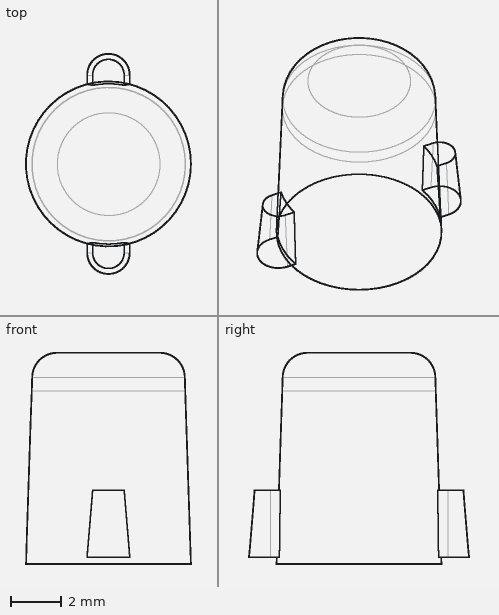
import cadquery as cq
import math

height = 8.4
base_radius = 3.28
shoulder_height = 6.895
shoulder_radius = 3.05
crown_top_radius = 3.01
edge_round = 1.0

overall_length = 8.75
lug_bottom = 0.27
lug_height = 2.67
lug_width = 1.7
lug_top_width = 1.25
lug_direction = 90
lug_draft = math.degrees(math.atan((lug_width - lug_top_width) / 2 / lug_height))


def make_body():
    """Draughted skirt topped by a steeper, rounded crown."""
    profile = (
        cq.Workplane("XZ")
        .lineTo(base_radius, 0)
        .lineTo(shoulder_radius, shoulder_height)
        .lineTo(crown_top_radius, height)
        .lineTo(0, height)
        .close()
    )
    body = profile.revolve(360, (0, 0, 0), (0, 1, 0))
    return body.faces(">Z").edges().fillet(edge_round)


def make_lugs():
    """One tapered, round-ended bar across the body forms both lugs."""
    return (
        cq.Workplane("XY", origin=(0, 0, lug_bottom))
        .slot2D(overall_length, lug_width, lug_direction)
        .extrude(lug_height, taper=lug_draft)
    )


result = make_body().union(make_lugs())